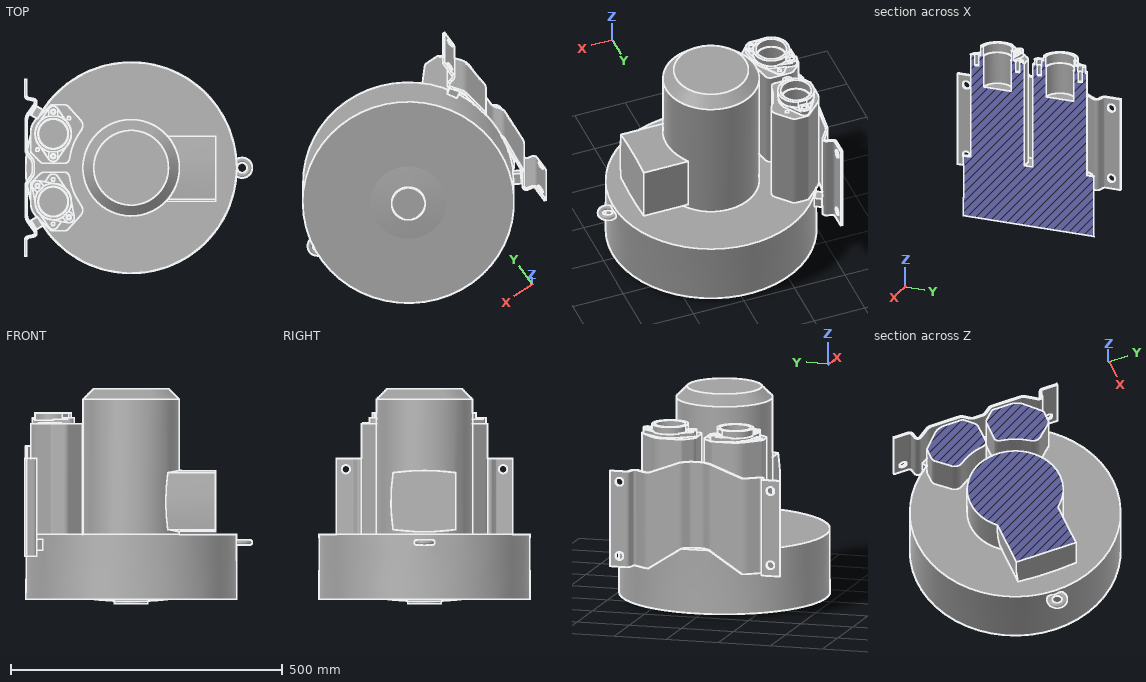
import cadquery as cq
import math


HUB_RADIUS = 31.0
HUB_DEPTH = 8.5
HOUSING_BOTTOM_RADIUS = 195.0
HOUSING_TOP_RADIUS = 194.6
HOUSING_HEIGHT = 120.0
COVER_RADIUS = 70.0
COVER_MIDDLE_RADIUS = (COVER_RADIUS + HUB_RADIUS) / 2
COVER_CROWN = 4.0

MOTOR_RADIUS = 89.0
MOTOR_TOP = 388.8
MOTOR_CHAMFER = 20.0
BOX_END_X = 156.0
BOX_HALF_WIDTH = 58.0
BOX_HALF_HEIGHT = 52.5
BOX_BULGE = 4.0
BOX_CENTER_Z = 181.2

EYE_CENTER_X = 204.62
EYE_CENTER_Z = 105.0
EYE_RING_RADIUS = 14.0
EYE_WIRE_RADIUS = 5.0

COLUMN_TOP = 324.0
COLUMN_LEFT = -185.5
COLUMN_INNER_Y = 8.0
COLUMN_OUTER_Y = 116.5
COLUMN_ARC_START = (COLUMN_LEFT, 65.6)
COLUMN_ARC_MIDDLE = (-182.6, 79.0)
COLUMN_ARC_END = (-173.5, 91.0)

OUTER_LEFT_CORNER = (-147.0, COLUMN_OUTER_Y)
OUTER_LEFT_RADIUS = 6.0
OUTER_RIGHT_CORNER = (-119.0, COLUMN_OUTER_Y)
OUTER_RIGHT_RADIUS = 12.0
NOSE_CORNER = (-85.5, 79.7)
NOSE_RADIUS = 15.0
INNER_RIGHT_CORNER = (-115.5, COLUMN_INNER_Y)
INNER_RIGHT_RADIUS = 10.0
INNER_LEFT_CORNER = (-165.0, COLUMN_INNER_Y)
INNER_LEFT_RADIUS = 13.0
FACE_CORNER = (COLUMN_LEFT, 29.0)
FACE_RADIUS = 6.0

MOTOR_CLEARANCE_RADIUS = 115.0
CLEARANCE_START_ANGLE = 151.0
CLEARANCE_END_ANGLE = 163.0
STRAIGHT_BOLT_ANGLE = 90.0
TURNED_BOLT_ANGLE = 45.0
PORT_X = -143.8
PORT_Y = 62.5
PORT_BORE_RADIUS = 27.2
PORT_BORE_DEPTH = 60.0

FLANGE_BODY_RADIUS = 33.0
FLANGE_BORE_RADIUS = 28.2
FLANGE_THICKNESS = 8.0
LOBE_RADIUS = 10.0
LOBE_DISTANCE = 41.0
COLLAR_RADIUS = 33.6
COLLAR_BOTTOM = 6.6
COLLAR_TOP = 20.0
PAD_WIDTH = 17.0
PAD_HEIGHT = 11.0
PAD_START = 32.5
BOLT_HOLE_RADIUS = 4.5
THREAD_HOLE_RADIUS = 3.3
THREAD_HOLE_DEPTH = 20.0
GASKET_THICKNESS = 1.5

SHEET_THICKNESS = 4.0
FOLD_DEPTH = 40.0
BRACKET_FACE_X = -196.5
BRACKET_HALF_LENGTH = 163.0
WING_INNER_Y = 90.0
CENTER_TOP_HALF_WIDTH = 29.0
CENTER_BOTTOM_HALF_WIDTH = 26.0
WING_BOTTOM = 79.5
WING_TOP = 260.0
CENTER_BOTTOM = 121.0
CENTER_TOP = 283.0
SHEET_BENDS = [
    (0.0, 128.7, 6.0),
    (22.5, 123.9, 5.5),
    (1.2, 94.0, 20.0),
    (1.2, 28.9, 12.0),
    (13.9, 12.2, 14.0),
]
MOUNT_HOLE_Y = 145.0
MOUNT_HOLE_DIAMETER = 15.0
MOUNT_HOLE_HEIGHTS = (100.0, 240.0)

SPACER_SIZE = 20.0
SPACER_CENTER_Z = 100.5
SPACER_ANGLE = 149.6
SPACER_INNER_RADIUS = 185.0
SPACER_OUTER_RADIUS = 208.5


def cylinder(radius, bottom, top, x=0.0, y=0.0):
    return cq.Workplane("XY").workplane(offset=bottom).center(x, y).circle(radius).extrude(top - bottom)


def mirror_y(body):
    """Mirror image across the plane Y = 0."""
    return body.mirror("XZ")


def polar(radius, angle):
    """Point at a radius and an angle in degrees."""
    return (radius * math.cos(math.radians(angle)), radius * math.sin(math.radians(angle)))


def cover_depth(radius):
    """Depth of the shallow domed cover below the housing at a given radius."""
    return COVER_CROWN * (1 - (radius / COVER_RADIUS) ** 2)


def make_rotating_bodies():
    """Housing, bottom cover, hub and motor as one revolved profile."""
    return (
        cq.Workplane("XZ")
        .moveTo(0, -HUB_DEPTH)
        .lineTo(HUB_RADIUS, -HUB_DEPTH)
        .lineTo(HUB_RADIUS, -cover_depth(HUB_RADIUS))
        .threePointArc((COVER_MIDDLE_RADIUS, -cover_depth(COVER_MIDDLE_RADIUS)), (COVER_RADIUS, 0))
        .lineTo(HOUSING_BOTTOM_RADIUS, 0)
        .lineTo(HOUSING_TOP_RADIUS, HOUSING_HEIGHT)
        .lineTo(MOTOR_RADIUS, HOUSING_HEIGHT)
        .lineTo(MOTOR_RADIUS, MOTOR_TOP - MOTOR_CHAMFER)
        .lineTo(MOTOR_RADIUS - MOTOR_CHAMFER, MOTOR_TOP)
        .lineTo(0, MOTOR_TOP)
        .close()
        .revolve(360, (0, 0, 0), (0, 1, 0))
    )


def make_terminal_box():
    """Box on the motor side, with bulged faces except on its flat +Y side."""
    w = BOX_HALF_WIDTH
    h = BOX_HALF_HEIGHT
    return (
        cq.Workplane("YZ")
        .center(0, BOX_CENTER_Z)
        .moveTo(-w, -h)
        .threePointArc((0, -h - BOX_BULGE), (w, -h))
        .lineTo(w, h)
        .threePointArc((0, h + BOX_BULGE), (-w, h))
        .threePointArc((-w - BOX_BULGE, 0), (-w, -h))
        .close()
        .extrude(BOX_END_X)
    )


def make_lifting_eye():
    ring = cq.Solid.makeTorus(
        EYE_RING_RADIUS, EYE_WIRE_RADIUS, cq.Vector(EYE_CENTER_X, 0, EYE_CENTER_Z), cq.Vector(0, 0, 1)
    )
    return cq.Workplane(ring)


def make_column():
    """Column on the +Y side; its face next to the motor is an arc about the motor axis."""
    arc_start = polar(MOTOR_CLEARANCE_RADIUS, CLEARANCE_START_ANGLE)
    arc_middle = polar(MOTOR_CLEARANCE_RADIUS, (CLEARANCE_START_ANGLE + CLEARANCE_END_ANGLE) / 2)
    arc_end = polar(MOTOR_CLEARANCE_RADIUS, CLEARANCE_END_ANGLE)
    body = (
        cq.Workplane("XY")
        .workplane(offset=HOUSING_HEIGHT)
        .moveTo(*OUTER_RIGHT_CORNER)
        .lineTo(*NOSE_CORNER)
        .lineTo(*arc_start)
        .threePointArc(arc_middle, arc_end)
        .lineTo(*INNER_RIGHT_CORNER)
        .lineTo(*INNER_LEFT_CORNER)
        .lineTo(*FACE_CORNER)
        .lineTo(*COLUMN_ARC_START)
        .threePointArc(COLUMN_ARC_MIDDLE, COLUMN_ARC_END)
        .lineTo(*OUTER_LEFT_CORNER)
        .close()
        .extrude(COLUMN_TOP - HOUSING_HEIGHT)
    )
    rounded_corners = [
        (OUTER_RIGHT_CORNER, OUTER_RIGHT_RADIUS),
        (NOSE_CORNER, NOSE_RADIUS),
        (INNER_RIGHT_CORNER, INNER_RIGHT_RADIUS),
        (INNER_LEFT_CORNER, INNER_LEFT_RADIUS),
        (FACE_CORNER, FACE_RADIUS),
        (OUTER_LEFT_CORNER, OUTER_LEFT_RADIUS),
    ]
    middle_z = (HOUSING_HEIGHT + COLUMN_TOP) / 2
    for (x, y), radius in rounded_corners:
        edge_middle = cq.selectors.NearestToPointSelector((x, y, middle_z))
        body = body.edges("|Z").edges(edge_middle).fillet(radius)
    body = body.cut(cylinder(PORT_BORE_RADIUS, COLUMN_TOP - PORT_BORE_DEPTH, COLUMN_TOP, PORT_X, PORT_Y))
    bolt_angles = [base + turn for base in (STRAIGHT_BOLT_ANGLE, TURNED_BOLT_ANGLE) for turn in (0, 180)]
    for angle in bolt_angles:
        dx, dy = polar(LOBE_DISTANCE, angle)
        hole = cylinder(
            THREAD_HOLE_RADIUS, COLUMN_TOP - THREAD_HOLE_DEPTH, COLUMN_TOP, PORT_X + dx, PORT_Y + dy
        )
        body = body.cut(hole)
    return body


def lobed_plate(height):
    """Two-lobed plate along local X: a round body joined to both lobes by tangent lines."""
    tangent_angle = math.degrees(math.acos((FLANGE_BODY_RADIUS - LOBE_RADIUS) / LOBE_DISTANCE))
    body_x, body_y = polar(FLANGE_BODY_RADIUS, tangent_angle)
    lobe_x, lobe_y = polar(LOBE_RADIUS, tangent_angle)
    lobe_x += LOBE_DISTANCE
    tip_x = LOBE_DISTANCE + LOBE_RADIUS
    return (
        cq.Workplane("XY")
        .moveTo(body_x, body_y)
        .lineTo(lobe_x, lobe_y)
        .threePointArc((tip_x, 0), (lobe_x, -lobe_y))
        .lineTo(body_x, -body_y)
        .threePointArc((0, -FLANGE_BODY_RADIUS), (-body_x, -body_y))
        .lineTo(-lobe_x, -lobe_y)
        .threePointArc((-tip_x, 0), (-lobe_x, lobe_y))
        .lineTo(-body_x, body_y)
        .threePointArc((0, FLANGE_BODY_RADIUS), (body_x, body_y))
        .close()
        .extrude(height)
    )


def bore_plate(plate, bore_radius, hole_radius):
    """Cut the central port and the two lobe holes through a plate."""
    plate = plate.cut(cylinder(bore_radius, 0, COLLAR_TOP))
    for x in (-LOBE_DISTANCE, LOBE_DISTANCE):
        plate = plate.cut(cylinder(hole_radius, 0, COLLAR_TOP, x))
    return plate


def make_flange():
    """Flange with raised bolt pads and a collar cut flat in front of each pad."""
    pad_length = LOBE_RADIUS + LOBE_DISTANCE - PAD_START
    pad_zone = (
        cq.Workplane("XY")
        .pushPoints([(side * (PAD_START + pad_length / 2), 0) for side in (-1, 1)])
        .rect(pad_length, PAD_WIDTH)
        .extrude(COLLAR_TOP)
    )
    flange = lobed_plate(FLANGE_THICKNESS)
    flange = flange.union(cylinder(COLLAR_RADIUS, COLLAR_BOTTOM, COLLAR_TOP).cut(pad_zone))
    flange = flange.union(lobed_plate(PAD_HEIGHT).intersect(pad_zone))
    return bore_plate(flange, FLANGE_BORE_RADIUS, BOLT_HOLE_RADIUS)


def place_on_port(plate, turn, port_y, bottom):
    return plate.rotate((0, 0, 0), (0, 0, 1), turn).translate((PORT_X, port_y, bottom))


def make_flanges():
    """Straight flange on the +Y port; turned flange over a gasket on the -Y port."""
    gasket = bore_plate(lobed_plate(GASKET_THICKNESS), PORT_BORE_RADIUS, THREAD_HOLE_RADIUS)
    straight = place_on_port(make_flange(), STRAIGHT_BOLT_ANGLE, PORT_Y, COLUMN_TOP)
    turned = place_on_port(make_flange(), 180 - TURNED_BOLT_ANGLE, -PORT_Y, COLUMN_TOP)
    return straight.union(turned).union(place_on_port(gasket, STRAIGHT_BOLT_ANGLE, -PORT_Y, COLUMN_TOP))


def make_bracket():
    """Sheet folded along vertical lines, then trimmed to its stepped outline."""
    middle_x = BRACKET_FACE_X + SHEET_THICKNESS / 2
    start = (middle_x, BRACKET_HALF_LENGTH)
    half_bends = [(middle_x + inset, y, radius) for inset, y, radius in SHEET_BENDS]
    bends = half_bends + [(x, -y, radius) for x, y, radius in reversed(half_bends)]
    corners = [start] + [(x, y) for x, y, radius in bends] + [(middle_x, -BRACKET_HALF_LENGTH)]
    path = cq.Wire.makePolygon([cq.Vector(x, y, WING_BOTTOM) for x, y in corners])
    for x, y, radius in bends:
        corner = cq.Vector(x, y, WING_BOTTOM)
        bend_vertex = min(path.Vertices(), key=lambda vertex: (vertex.Center() - corner).Length)
        path = path.fillet2D(radius, [bend_vertex])
    sheet_height = CENTER_TOP - WING_BOTTOM
    sheet = (
        cq.Workplane("XZ", origin=(middle_x, BRACKET_HALF_LENGTH, WING_BOTTOM + sheet_height / 2))
        .rect(SHEET_THICKNESS, sheet_height)
        .sweep(cq.Workplane(path))
    )
    half_outline = [
        (BRACKET_HALF_LENGTH, WING_BOTTOM),
        (BRACKET_HALF_LENGTH, WING_TOP),
        (WING_INNER_Y, WING_TOP),
        (CENTER_TOP_HALF_WIDTH, CENTER_TOP),
    ]
    lower_edge = [(CENTER_BOTTOM_HALF_WIDTH, CENTER_BOTTOM), (WING_INNER_Y, WING_BOTTOM)]
    outline = half_outline + [(-y, z) for y, z in reversed(half_outline)]
    outline += [(-y, z) for y, z in reversed(lower_edge)] + lower_edge
    trim = cq.Workplane("YZ", origin=(BRACKET_FACE_X, 0, 0)).polyline(outline).close().extrude(FOLD_DEPTH)
    holes = (
        cq.Workplane("YZ", origin=(BRACKET_FACE_X, 0, 0))
        .pushPoints([(y, z) for y in (-MOUNT_HOLE_Y, MOUNT_HOLE_Y) for z in MOUNT_HOLE_HEIGHTS])
        .circle(MOUNT_HOLE_DIAMETER / 2)
        .extrude(SHEET_THICKNESS)
    )
    return sheet.intersect(trim).cut(holes)


def make_spacer():
    length = SPACER_OUTER_RADIUS - SPACER_INNER_RADIUS
    block = cq.Workplane("XY").box(length, SPACER_SIZE, SPACER_SIZE)
    block = block.translate((SPACER_INNER_RADIUS + length / 2, 0, SPACER_CENTER_Z))
    return block.rotate((0, 0, 0), (0, 0, 1), SPACER_ANGLE)


result = make_rotating_bodies().union(make_terminal_box()).union(make_lifting_eye())
for half in (make_column(), make_spacer()):
    result = result.union(half).union(mirror_y(half))
result = result.union(make_flanges()).union(make_bracket())